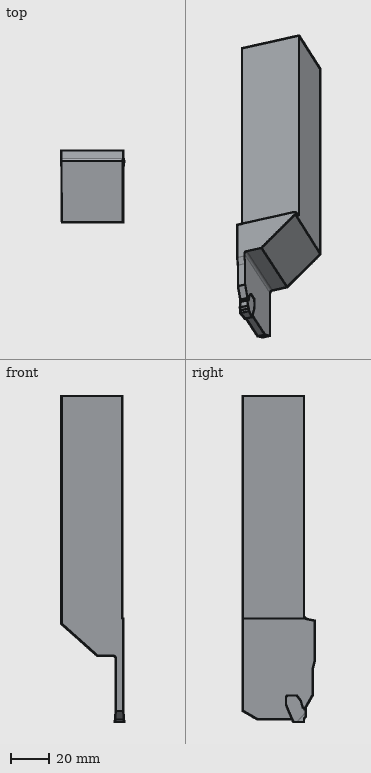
import cadquery as cq
import math

height = 170.0
shank_width = 32.0
shank_depth = 32.0
head_depth = 37.5
side_taper = 0.3

blade_right = 32.5
blade_left = 28.4
head_step_z = 54.0
bevel_top_z = 51.3
shoulder_x = 18.9
shoulder_z = 34.5
blade_fillet = 1.4
ledge_outer_z = 52.9
ledge_inner_z = 54.0
ledge_fillet = 1.7
blade_depth = 36.5
neck_top_z = 31.8
neck_bottom_z = 27.5
nose_top_z = 14.1
nose_y = 33.0
nose_z = 7.8
blade_bottom_z = 1.4
heel_y = 7.6
heel_z = 5.8

insert_top_z = 13.8
cutting_y = 32.0
seat_lip = (nose_y, 6.6)
heel_corner = (26.4, 0.0)
insert_outline = [
    (cutting_y, 0.0),
    (cutting_y, 1.7),
    (nose_y, 2.9),
    seat_lip,
    (32.3, 6.6),
    (31.3, 7.6),
    (30.3, 11.0),
    (28.2, insert_top_z),
    (23.1, insert_top_z),
    (22.6, 13.1),
    (22.6, 8.8),
    heel_corner,
]
tip_flare = 0.5
flare_start = (29.0, 0.8)
flare_end = (32.6, 4.8)


def side_prism(points, x_start, x_end):
    """Extrude a (y, z) outline along X."""
    plane = cq.Workplane("YZ", origin=(x_start, 0, 0))
    return plane.polyline(points).close().extrude(x_end - x_start)


def make_front_form():
    """Shank, bevelled shoulder and thin blade, extruded along Y."""
    outline = [
        (0, height),
        (shank_width, height),
        (shank_width, head_step_z),
        (blade_right, head_step_z),
        (blade_right, 0),
        (blade_left, 0),
        (blade_left, shoulder_z),
        (shoulder_x, shoulder_z),
        (0, bevel_top_z),
    ]
    form = cq.Workplane("XZ").polyline(outline).close().extrude(-head_depth)
    inner_corner = cq.selectors.NearestToPointSelector((blade_left, head_depth / 2, shoulder_z))
    return form.edges("|Y").edges(inner_corner).fillet(blade_fillet)


def make_side_form():
    """Side silhouette of the holder, with the ledge and the bevelled heel."""
    outline = [
        (0, height),
        (shank_depth, height),
        (shank_depth, ledge_inner_z),
        (head_depth, ledge_outer_z),
        (head_depth, neck_top_z),
        (blade_depth, neck_bottom_z),
        (blade_depth, nose_top_z),
        (nose_y, nose_z),
        seat_lip,
        (heel_corner[0], blade_bottom_z),
        (heel_y, blade_bottom_z),
        (0, heel_z),
    ]
    form = side_prism(outline, 0, blade_right)
    ledge_corner = cq.selectors.NearestToPointSelector((blade_right / 2, shank_depth, ledge_inner_z))
    return form.edges("|X").edges(ledge_corner).fillet(ledge_fillet)


def make_taper_cut():
    """Wedge that gives the -X side its slight lean."""
    return (
        cq.Workplane("XY")
        .polyline([(0, 0), (side_taper, 0), (0, head_depth)])
        .close()
        .extrude(height)
    )


def make_holder():
    seat = side_prism(insert_outline, 0, blade_right)
    return make_front_form().intersect(make_side_form()).cut(make_taper_cut()).cut(seat)


def make_flare_form():
    """Width limit of the insert: blade thickness, widening to the cutting corner."""
    along_y = flare_end[0] - flare_start[0]
    along_z = flare_end[1] - flare_start[1]
    length = math.hypot(along_y, along_z)
    outward = (0, along_z / length, -along_y / length)
    reach = (cutting_y - flare_start[0]) * outward[1] - flare_start[1] * outward[2]
    plane = cq.Plane(
        origin=(0, *flare_start),
        xDir=outward,
        normal=(0, along_y / length, along_z / length),
    )
    left = plane.toLocalCoords(cq.Vector(blade_left, *flare_start)).y
    right = plane.toLocalCoords(cq.Vector(blade_right, *flare_start)).y
    outer = math.copysign(tip_flare, right)
    outline = [
        (-insert_top_z * 2, left),
        (0, left),
        (reach, left - outer),
        (reach, right + outer),
        (0, right),
        (-insert_top_z * 2, right),
    ]
    return cq.Workplane(plane).polyline(outline).close().extrude(insert_top_z * 2, both=True)


def make_insert():
    blank = side_prism(insert_outline, blade_left - tip_flare, blade_right + tip_flare)
    return blank.intersect(make_flare_form())


holder = make_holder()
insert = make_insert()
result = cq.Compound.makeCompound([holder.solids().val(), insert.solids().val()])